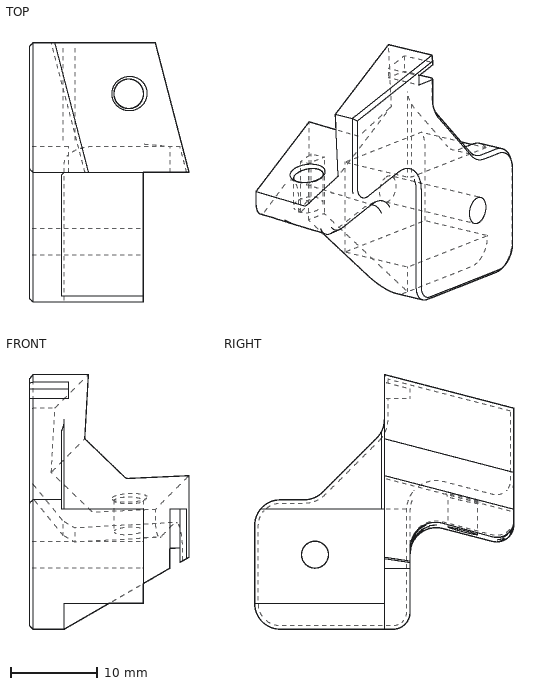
import cadquery as cq
import math

length = 30.0
height = 29.5
width = 18.48

front_y = 15.0
web_back_y = 18.0
plate_top = 15.0
diagonal_rise = 8.0
large_radius = 3.0
small_radius = 2.0
tilt_drop = 3.9
clamp_depth = length - front_y
tilt = tilt_drop / clamp_depth
notch_corner_z = 17.67
edge_chamfer = 0.42

plate_top_thickness = 3.72
plate_bottom_thickness = 4.02
arm_width = 13.2
arm_bottom = 3.0
arm_top = 13.92
gusset = plate_bottom_thickness - plate_top_thickness

ridge_top_x = 6.85
ridge_foot_x = 6.42
ridge_foot_z = 22.05
shelf_start_x = 11.2
shelf_start_z = 17.45
shelf_end_z = 17.8
shelf_blend_radius = 0.6
bottom_angle = 30.0
notch_steep_end_x = 3.9
notch_steep_drop = 4.25
notch_low_x = 5.25
notch_low_drop = 5.05
notch_end_drop = 4.32

slot_depth = 3.0
upper_slot_width = 4.5
upper_slot_bottom = 26.7
upper_slot_top = 28.6
lower_slot_x = 16.25
lower_slot_top = 13.92
lip_thickness = 0.3

pivot_diameter = 3.1
pivot_y = 7.0
pivot_z = 8.65
screw_diameter = 3.4
screw_rim_diameter = 4.08
screw_x = 11.5
screw_y = 24.1

margin = 6.0


def box(x0, x1, y0, y1, z0, z1):
    return cq.Workplane("XY").box(x1 - x0, y1 - y0, z1 - z0, centered=False).translate((x0, y0, z0))


def rounded_outline(plane, corners):
    """Closed outline of (u, v, radius) corners; a zero radius stays sharp."""
    path = []
    for i, (u, v, radius) in enumerate(corners):
        corner = cq.Vector(u, v)
        before = (cq.Vector(*corners[i - 1][:2]) - corner).normalized()
        after = (cq.Vector(*corners[(i + 1) % len(corners)][:2]) - corner).normalized()
        half = before.getAngle(after) / 2
        tangent = radius / math.tan(half)
        middle = (before + after).normalized() * (radius / math.sin(half) - radius)
        path.append([corner + before * tangent, corner + middle, corner + after * tangent])
    sketch = cq.Workplane(plane).moveTo(*path[0][2].toTuple()[:2])
    for (start, middle, end), (_, _, radius) in zip(path[1:] + path[:1], corners[1:] + corners[:1]):
        sketch = sketch.lineTo(*start.toTuple()[:2])
        if radius:
            sketch = sketch.threePointArc(middle.toTuple()[:2], end.toTuple()[:2])
    return sketch.close()


def oblique_prism(outline, direction):
    wire = outline.vals()[0]
    return cq.Workplane(cq.Solid.extrudeLinear(wire, [], cq.Vector(*direction)))


def underside_z(y):
    return notch_corner_z - tilt * (y - web_back_y)


side_corners = [
    (front_y, height, 0),
    (front_y, front_y + diagonal_rise, large_radius),
    (plate_top - diagonal_rise, plate_top, large_radius),
    (0, plate_top, large_radius),
    (0, 0, large_radius),
    (web_back_y, 0, small_radius),
    (web_back_y, notch_corner_z, large_radius),
    (length, underside_z(length), small_radius),
    (length, height - tilt_drop, 0),
]


def side_prism(thickness):
    return rounded_outline("YZ", side_corners).extrude(thickness)


def make_plate():
    """Chamfered skin, plate below and beside the arm, and the arm itself."""
    skin = side_prism(2 * edge_chamfer).faces("<X").chamfer(edge_chamfer)
    skin = skin.intersect(box(0, edge_chamfer, 0, length, 0, height))
    upper = box(edge_chamfer, plate_top_thickness, 0, front_y, arm_bottom, height)
    lower = box(edge_chamfer, plate_bottom_thickness, 0, web_back_y, 0, arm_bottom)
    arm = box(edge_chamfer, arm_width, 0, front_y, arm_bottom, arm_top)
    wedge = (
        cq.Workplane("XY")
        .polyline([
            (plate_top_thickness, front_y - gusset),
            (plate_bottom_thickness, front_y),
            (plate_top_thickness, front_y),
        ])
        .close()
        .extrude(height)
    )
    thick_parts = upper.union(lower).union(arm).union(wedge).intersect(side_prism(arm_width))
    return skin.union(thick_parts)


def make_notch():
    """Open space behind the web, its roof stepping down toward +X and then rising gently."""
    floor = -height
    corners = [
        (web_back_y, floor, 0),
        (web_back_y, notch_corner_z, large_radius),
        (length, underside_z(length), small_radius),
        (length, height, 0),
        (length + margin, height, 0),
        (length + margin, floor, 0),
    ]
    stations = [
        (edge_chamfer, 0),
        (notch_steep_end_x, notch_steep_drop),
        (notch_low_x, notch_low_drop),
        (width, notch_end_drop),
    ]
    notch = cq.Workplane()
    for (x0, drop0), (x1, drop1) in zip(stations, stations[1:]):
        outline = rounded_outline(cq.Plane.YZ(origin=(x0, 0, -drop0)), corners)
        notch = notch.add(oblique_prism(outline, (x1 - x0, 0, drop0 - drop1)))
    return notch.combine()


def make_clamp():
    """Stepped section swept obliquely backward, with a sloping base."""
    section = [
        (-margin, height, 0),
        (ridge_top_x, height, 0),
        (ridge_foot_x, ridge_foot_z, 0),
        (shelf_start_x, shelf_start_z, shelf_blend_radius),
        (width, shelf_end_z, 0),
        (width, -margin, 0),
        (-margin, -margin, 0),
    ]
    outline = rounded_outline(cq.Plane.XZ(origin=(0, front_y, 0)), section)
    clamp = oblique_prism(outline, (-tilt_drop, clamp_depth, -tilt_drop))
    base_rise = (width - plate_bottom_thickness) * math.tan(math.radians(bottom_angle))
    above_base = (
        cq.Workplane("XZ")
        .polyline([
            (edge_chamfer, 0),
            (plate_bottom_thickness, 0),
            (width, base_rise),
            (width, height),
            (edge_chamfer, height),
        ])
        .close()
        .extrude(-length)
    )
    rounded_foot = rounded_outline("YZ", [
        (0, 0, 0),
        (web_back_y, 0, small_radius),
        (web_back_y, arm_bottom, 0),
        (length, arm_bottom, 0),
        (length, height, 0),
        (0, height, 0),
    ]).extrude(width)
    return clamp.intersect(above_base).intersect(rounded_foot).cut(make_notch())


def make_upper_slot():
    back_y = front_y + slot_depth
    return (
        cq.Workplane("YZ")
        .polyline([
            (front_y, upper_slot_bottom),
            (front_y, upper_slot_top),
            (back_y, upper_slot_top - tilt * slot_depth),
            (back_y, upper_slot_bottom),
        ])
        .close()
        .extrude(upper_slot_width)
    )


def make_lower_slot():
    """Slot open below; its outer wall runs parallel to the slanted side."""
    outer_x = width - lip_thickness
    back_y = front_y + slot_depth
    return (
        cq.Workplane("XY")
        .polyline([
            (lower_slot_x, front_y),
            (outer_x, front_y),
            (outer_x - tilt * slot_depth, back_y),
            (lower_slot_x, back_y),
        ])
        .close()
        .extrude(lower_slot_top)
    )


def make_pivot_hole():
    return cq.Workplane("YZ").center(pivot_y, pivot_z).circle(pivot_diameter / 2).extrude(width)


def make_screw_hole():
    """Vertical hole with a countersunk rim on the shelf."""
    shelf_slope = (shelf_end_z - shelf_start_z) / (width - shelf_start_x)
    setback = screw_y - front_y
    run = screw_x + tilt * setback - shelf_start_x
    shelf_z = shelf_start_z + shelf_slope * run - tilt * setback
    rim_depth = (screw_rim_diameter - screw_diameter) / 2
    hole = cq.Workplane("XY").center(screw_x, screw_y).circle(screw_diameter / 2).extrude(height)
    tool_plane = cq.Plane(
        origin=(screw_x, screw_y, shelf_z), xDir=(1, 0, shelf_slope), normal=(0, tilt, 1)
    )
    rim = (
        cq.Workplane(tool_plane)
        .workplane(offset=-rim_depth)
        .circle(screw_diameter / 2)
        .workplane(offset=2 * rim_depth)
        .circle(screw_rim_diameter / 2 + rim_depth)
        .loft()
    )
    return hole.union(rim)


result = make_plate().union(make_clamp())
for tool in (make_upper_slot(), make_lower_slot(), make_pivot_hole(), make_screw_hole()):
    result = result.cut(tool)